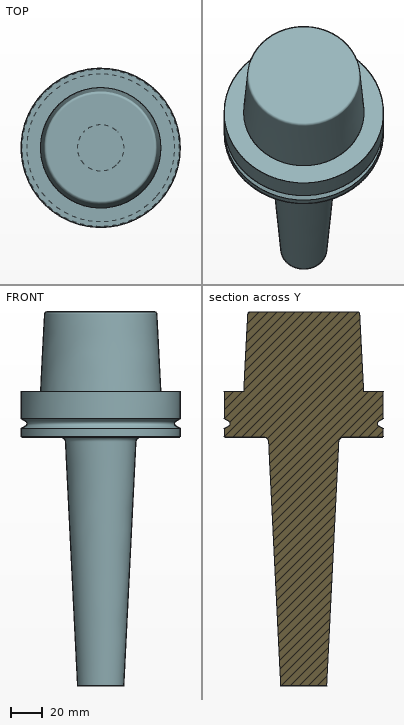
import cadquery as cq
import math

total_length = 235.0
taper_length = 50.0
flange_thickness = 29.0
flange_top = total_length - taper_length
flange_bottom = flange_top - flange_thickness

taper_base_radius = 37.8
taper_top_radius = 35.2
taper_edge_fillet = 1.6

flange_radius = 50.0
flange_edge_chamfer = 0.7
upper_land_height = 17.2
groove_width = 6.0
groove_floor_radius = 1.6
groove_wall_angle = 30.0

shank_root_radius = 22.3
shank_tip_radius = 14.5
shank_root_fillet = 2.8


def cone(bottom, top, bottom_radius, top_radius):
    """Solid cone frustum on the Z axis between two heights."""
    profile = [(0, bottom), (bottom_radius, bottom), (top_radius, top), (0, top)]
    return cq.Workplane("XZ").polyline(profile).close().revolve(360, (0, 0, 0), (0, 1, 0))


def make_taper():
    taper = cone(flange_top, total_length, taper_base_radius, taper_top_radius)
    return taper.faces(">Z").edges().fillet(taper_edge_fillet)


def make_flange():
    flange = cq.Workplane("XY", origin=(0, 0, flange_bottom)).circle(flange_radius).extrude(flange_thickness)
    return flange.faces("<Z").edges().chamfer(flange_edge_chamfer)


def make_groove():
    """Ring that cuts the groove; its floor arc is tangent to both sloping walls."""
    groove_top = flange_top - upper_land_height
    groove_bottom = groove_top - groove_width
    middle = groove_top - groove_width / 2
    wall_angle = math.radians(groove_wall_angle)
    arc_half_height = groove_floor_radius * math.cos(wall_angle)
    wall_depth = (groove_width / 2 - arc_half_height) / math.tan(wall_angle)
    arc_depth = groove_floor_radius * (1 - math.sin(wall_angle))
    tangent_radius = flange_radius - wall_depth
    return (
        cq.Workplane("XZ")
        .moveTo(flange_radius, groove_top)
        .lineTo(tangent_radius, middle + arc_half_height)
        .threePointArc((tangent_radius - arc_depth, middle), (tangent_radius, middle - arc_half_height))
        .lineTo(flange_radius, groove_bottom)
        .close()
        .revolve(360, (0, 0, 0), (0, 1, 0))
    )


def round_shank_root(body):
    """Blend the shank into the underside of the flange."""
    reach = shank_root_radius + shank_root_fillet
    margin = 0.2
    selector = cq.selectors.BoxSelector(
        (-reach, -reach, flange_bottom - margin), (reach, reach, flange_bottom + margin), boundingbox=True
    )
    return body.edges(selector).fillet(shank_root_fillet)


shank = cone(0, flange_bottom, shank_tip_radius, shank_root_radius)
body = make_flange().cut(make_groove()).union(make_taper()).union(shank)
result = round_shank_root(body)